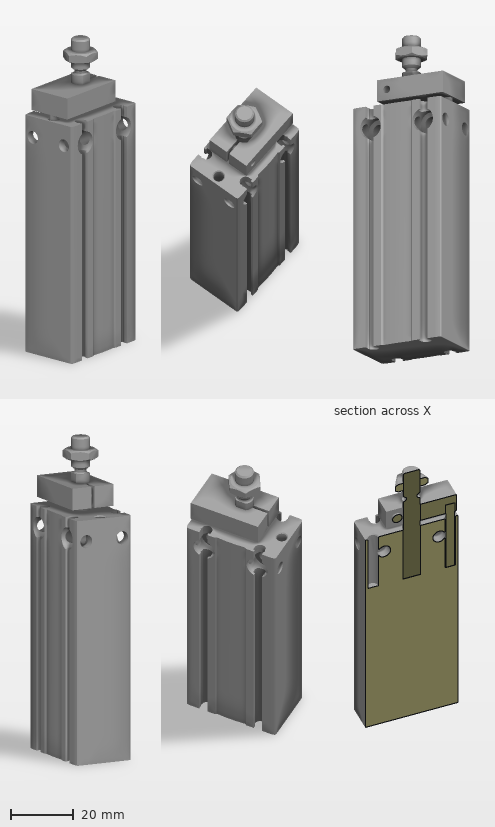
import cadquery as cq
import math

BODY_WIDTH = 20.0
BODY_LENGTH = 32.0
BODY_HEIGHT = 80.0
HALF_WIDTH = BODY_WIDTH / 2
HALF_LENGTH = BODY_LENGTH / 2

CROWN_RADIUS = 8.0
CROWN_START = 13.9
CORNER_CHAMFER_X = 0.5
CORNER_CHAMFER_Y = 0.3

RECESS_HALF_LENGTH = 5.6
RECESS_FLOOR_HALF_LENGTH = 5.0
RECESS_EDGE_DEPTH = 0.4
RECESS_CENTER_DEPTH = 0.2

SLOT_SPACING = 19.1
SLOT_CENTER_Y = SLOT_SPACING / 2
SLOT_OUTER_WALL_OFFSET = 1.7
SLOT_DEPTH = 3.8
SLOT_FLOOR_RADIUS = 1.9
LIP_HEIGHT = 0.6
LIP_THICKNESS = 0.8
NOTCH_INSET = 1.7
NOTCH_WIDTH = 0.7
NOTCH_DEPTH = 0.3

MOUNT_HOLE_DIAMETER = 4.3
MOUNT_HOLE_Z = 73.0
FRONT_HOLE_SPACING = 13.0
SIDE_HOLE_SPACING = 19.0
COUNTERBORE_DIAMETER = 7.5
COUNTERBORE_DEPTH = 5.7

GUIDE_OFFSET_Y = 13.3
GUIDE_HOLE_DIAMETER = 3.4
GUIDE_HOLE_CHAMFER = 0.3
GUIDE_PIN_DIAMETER = 3.0

SOCKET_DEPTH = 20.8
SOCKET_FLOOR_Z = BODY_HEIGHT - SOCKET_DEPTH

PLATE_GAP = 2.0
PLATE_WIDTH = 15.0
PLATE_LENGTH = 24.0
PLATE_THICKNESS = 7.1
PLATE_BACK_Y = 8.5
PLATE_BOTTOM_Z = BODY_HEIGHT + PLATE_GAP
PLATE_TOP_Z = PLATE_BOTTOM_Z + PLATE_THICKNESS
PLATE_MIDDLE_Z = (PLATE_BOTTOM_Z + PLATE_TOP_Z) / 2
PIN_SEAT_DEPTH = PLATE_THICKNESS / 2
CLAMP_SLIT_WIDTH = 1.0
CLAMP_BAR_DIAMETER = 3.4
CLAMP_HOLE_DIAMETER = 2.5
CLAMP_HOLE_DEPTH = 5.2
CLAMP_Y = 5.0

ROD_DIAMETER = 6.0
ROD_RADIUS = ROD_DIAMETER / 2
ROD_TOP_Z = 104
ROD_TIP_CHAMFER = 0.5
ROD_FLATS_WIDTH = 5.0
NECK_DIAMETER = 4.0
NECK_RADIUS = NECK_DIAMETER / 2
NECK_FOOT_CHAMFER = 0.4
SHOULDER_Z = 92.0
NECK_TOP_Z = 93.3
THREAD_BOTTOM_Z = 94.1

NUT_SIDES = 6
NUT_ACROSS_FLATS = 10.0
NUT_THICKNESS = 3.3
NUT_BOTTOM_Z = 96.6
NUT_FACE_DIAMETER = 9.2
NUT_CHAMFER_ANGLE = 30


def cylinder_z(diameter, bottom_z, top_z, y=0):
    """Upright cylinder between two heights."""
    return cq.Workplane("XY", origin=(0, y, bottom_z)).circle(diameter / 2).extrude(top_z - bottom_z)


def cylinder_x(diameter, start_x, end_x, y, z):
    """Cylinder along X."""
    return cq.Workplane("YZ", origin=(start_x, y, z)).circle(diameter / 2).extrude(end_x - start_x)


def housing_block():
    """Profile with crowned recesses and rounded corners, mirrored about the YZ plane."""
    corner_y = HALF_LENGTH - CORNER_CHAMFER_Y

    def crown_x(y):
        rise = y - CROWN_START
        return HALF_WIDTH - CROWN_RADIUS + math.sqrt(CROWN_RADIUS**2 - rise**2)

    crown_end = (crown_x(corner_y), corner_y)
    crown_middle_y = (CROWN_START + corner_y) / 2
    crown_middle = (crown_x(crown_middle_y), crown_middle_y)
    end_face_x = crown_end[0] - CORNER_CHAMFER_X
    recess_edge_x = HALF_WIDTH - RECESS_EDGE_DEPTH
    recess_center = (HALF_WIDTH - RECESS_CENTER_DEPTH, 0)
    profile = (
        cq.Workplane("XY")
        .moveTo(0, -HALF_LENGTH)
        .lineTo(end_face_x, -HALF_LENGTH)
        .lineTo(crown_end[0], -corner_y)
        .threePointArc((crown_middle[0], -crown_middle[1]), (HALF_WIDTH, -CROWN_START))
        .lineTo(HALF_WIDTH, -RECESS_HALF_LENGTH)
        .lineTo(recess_edge_x, -RECESS_FLOOR_HALF_LENGTH)
        .threePointArc(recess_center, (recess_edge_x, RECESS_FLOOR_HALF_LENGTH))
        .lineTo(HALF_WIDTH, RECESS_HALF_LENGTH)
        .lineTo(HALF_WIDTH, CROWN_START)
        .threePointArc(crown_middle, crown_end)
        .lineTo(end_face_x, HALF_LENGTH)
        .lineTo(0, HALF_LENGTH)
        .mirrorY()
    )
    return profile.extrude(BODY_HEIGHT)


def sensor_slot():
    """Cutter for the slot at +X, +Y: a lipped opening, a round floor and a notch in the outer wall."""
    outer_wall_y = SLOT_CENTER_Y + SLOT_OUTER_WALL_OFFSET
    inner_wall_y = SLOT_CENTER_Y - SLOT_FLOOR_RADIUS
    floor_x = HALF_WIDTH - SLOT_DEPTH
    arc_center_x = floor_x + SLOT_FLOOR_RADIUS
    arc_end_x = arc_center_x - math.sqrt(SLOT_FLOOR_RADIUS**2 - SLOT_OUTER_WALL_OFFSET**2)
    lip_x = HALF_WIDTH - LIP_THICKNESS
    notch_x = HALF_WIDTH - NOTCH_INSET
    return (
        cq.Workplane("XY")
        .moveTo(arc_center_x, inner_wall_y)
        .lineTo(lip_x, inner_wall_y)
        .lineTo(lip_x, inner_wall_y + LIP_HEIGHT)
        .lineTo(BODY_WIDTH, inner_wall_y + LIP_HEIGHT)
        .lineTo(BODY_WIDTH, outer_wall_y)
        .lineTo(notch_x + NOTCH_WIDTH / 2, outer_wall_y)
        .lineTo(notch_x, outer_wall_y + NOTCH_DEPTH)
        .lineTo(notch_x - NOTCH_WIDTH / 2, outer_wall_y)
        .lineTo(arc_end_x, outer_wall_y)
        .threePointArc((floor_x, SLOT_CENTER_Y), (arc_center_x, inner_wall_y))
        .close()
        .extrude(BODY_HEIGHT)
    )


def cut_sensor_slots(block):
    """Four slots, mirrored about both vertical middle planes."""
    slot = sensor_slot()
    for pair_side in (slot, slot.mirror("YZ")):
        block = block.cut(pair_side).cut(pair_side.mirror("XZ"))
    return block


def cut_mounting_holes(block):
    """Plain holes along Y, and holes along X counterbored from both sides."""
    for side in (-1, 1):
        front_x = side * FRONT_HOLE_SPACING / 2
        front_hole = (
            cq.Workplane("XZ", origin=(front_x, HALF_LENGTH, MOUNT_HOLE_Z))
            .circle(MOUNT_HOLE_DIAMETER / 2)
            .extrude(BODY_LENGTH)
        )
        side_y = side * SIDE_HOLE_SPACING / 2
        side_hole = cylinder_x(MOUNT_HOLE_DIAMETER, -HALF_WIDTH, HALF_WIDTH, side_y, MOUNT_HOLE_Z)
        block = block.cut(front_hole).cut(side_hole)
        for face_x in (-HALF_WIDTH, HALF_WIDTH):
            floor_x = math.copysign(HALF_WIDTH - COUNTERBORE_DEPTH, face_x)
            block = block.cut(cylinder_x(COUNTERBORE_DIAMETER, face_x, floor_x, side_y, MOUNT_HOLE_Z))
    return block


def guide_hole(y):
    """Cutter for a blind guide hole with a 45 degree chamfer at its mouth."""
    radius = GUIDE_HOLE_DIAMETER / 2
    return (
        cq.Workplane("XZ", origin=(0, y, BODY_HEIGHT))
        .lineTo(0, -SOCKET_DEPTH)
        .lineTo(radius, -SOCKET_DEPTH)
        .lineTo(radius, -GUIDE_HOLE_CHAMFER)
        .lineTo(radius + GUIDE_HOLE_CHAMFER, 0)
        .close()
        .revolve(360, (0, 0, 0), (0, 1, 0))
    )


def cut_top_sockets(block):
    """Rod socket and the two guide holes."""
    block = block.cut(cylinder_z(ROD_DIAMETER, SOCKET_FLOOR_Z, BODY_HEIGHT))
    for y in (-GUIDE_OFFSET_Y, GUIDE_OFFSET_Y):
        block = block.cut(guide_hole(y))
    return block


def make_housing():
    return cut_top_sockets(cut_mounting_holes(cut_sensor_slots(housing_block())))


def make_plate():
    """Clamp plate, slit from its back edge to the rod, with a bar across the slit."""
    plate = (
        cq.Workplane("XY", origin=(0, PLATE_BACK_Y - PLATE_LENGTH / 2, PLATE_BOTTOM_Z))
        .rect(PLATE_WIDTH, PLATE_LENGTH)
        .extrude(PLATE_THICKNESS)
    )
    slit = (
        cq.Workplane("XY", origin=(0, PLATE_BACK_Y / 2, PLATE_BOTTOM_Z))
        .rect(CLAMP_SLIT_WIDTH, PLATE_BACK_Y)
        .extrude(PLATE_THICKNESS)
    )
    half_slit = CLAMP_SLIT_WIDTH / 2
    bar = cylinder_x(CLAMP_BAR_DIAMETER, -half_slit, half_slit, CLAMP_Y, PLATE_MIDDLE_Z)
    side_x = -PLATE_WIDTH / 2
    clamp_hole = cylinder_x(CLAMP_HOLE_DIAMETER, side_x, side_x + CLAMP_HOLE_DEPTH, CLAMP_Y, PLATE_MIDDLE_Z)
    rod_hole = cylinder_z(ROD_DIAMETER, PLATE_BOTTOM_Z, PLATE_TOP_Z)
    pin_seat = cylinder_z(
        GUIDE_PIN_DIAMETER, PLATE_BOTTOM_Z, PLATE_BOTTOM_Z + PIN_SEAT_DEPTH, -GUIDE_OFFSET_Y
    )
    return plate.cut(slit).union(bar).cut(clamp_hole).cut(rod_hole).cut(pin_seat)


def make_rod():
    """Turned rod with a necked, chamfered thread end and two wrench flats above the plate."""
    tip_radius = ROD_RADIUS - ROD_TIP_CHAMFER
    rod = (
        cq.Workplane("XZ")
        .moveTo(0, SOCKET_FLOOR_Z)
        .lineTo(ROD_RADIUS, SOCKET_FLOOR_Z)
        .lineTo(ROD_RADIUS, SHOULDER_Z)
        .lineTo(NECK_RADIUS + NECK_FOOT_CHAMFER, SHOULDER_Z)
        .lineTo(NECK_RADIUS, SHOULDER_Z + NECK_FOOT_CHAMFER)
        .lineTo(NECK_RADIUS, NECK_TOP_Z)
        .lineTo(ROD_RADIUS, THREAD_BOTTOM_Z)
        .lineTo(ROD_RADIUS, ROD_TOP_Z - ROD_TIP_CHAMFER)
        .lineTo(tip_radius, ROD_TOP_Z)
        .lineTo(0, ROD_TOP_Z)
        .close()
        .revolve(360, (0, 0, 0), (0, 1, 0))
    )
    flats_height = SHOULDER_Z - PLATE_TOP_Z
    for side in (-1, 1):
        waste = (
            cq.Workplane("XY", origin=(side * (ROD_FLATS_WIDTH + ROD_DIAMETER) / 2, 0, PLATE_TOP_Z))
            .rect(ROD_DIAMETER, ROD_DIAMETER)
            .extrude(flats_height)
        )
        rod = rod.cut(waste)
    return rod


def make_nut():
    """Hexagon with its flats facing X, both ends turned to a cone, bored for the rod."""
    half_side_angle = 180 / NUT_SIDES
    corner_diameter = NUT_ACROSS_FLATS / math.cos(math.radians(half_side_angle))
    nut_top_z = NUT_BOTTOM_Z + NUT_THICKNESS
    hexagon = (
        cq.Workplane("XY", origin=(0, 0, NUT_BOTTOM_Z))
        .polygon(NUT_SIDES, corner_diameter)
        .extrude(NUT_THICKNESS)
        .rotate((0, 0, 0), (0, 0, 1), half_side_angle)
    )
    face_radius = NUT_FACE_DIAMETER / 2
    corner_radius = corner_diameter / 2
    cone_drop = (corner_radius - face_radius) * math.tan(math.radians(NUT_CHAMFER_ANGLE))
    turned_envelope = (
        cq.Workplane("XZ")
        .moveTo(0, NUT_BOTTOM_Z)
        .lineTo(face_radius, NUT_BOTTOM_Z)
        .lineTo(corner_radius, NUT_BOTTOM_Z + cone_drop)
        .lineTo(corner_radius, nut_top_z - cone_drop)
        .lineTo(face_radius, nut_top_z)
        .lineTo(0, nut_top_z)
        .close()
        .revolve(360, (0, 0, 0), (0, 1, 0))
    )
    bore = cylinder_z(ROD_DIAMETER, NUT_BOTTOM_Z, nut_top_z)
    return hexagon.intersect(turned_envelope).cut(bore)


def make_guide_pin():
    """Straight pin seated in the plate and running down into the front guide hole."""
    return cylinder_z(
        GUIDE_PIN_DIAMETER, SOCKET_FLOOR_Z, PLATE_BOTTOM_Z + PIN_SEAT_DEPTH, -GUIDE_OFFSET_Y
    )


housing = make_housing()
plate = make_plate()
rod = make_rod()
nut = make_nut()
guide_pin = make_guide_pin()

result = cq.Compound.makeCompound(
    [housing.val(), plate.val(), rod.val(), nut.val(), guide_pin.val()]
)